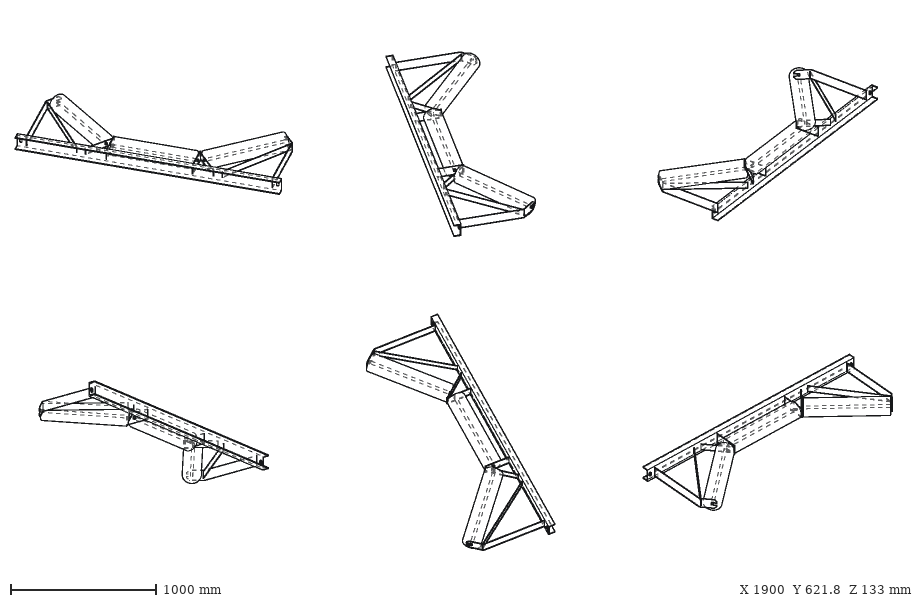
import cadquery as cq
import math

BEAM_LENGTH = 1900.0
BEAM_HEIGHT = 100.0
FLANGE_DEPTH = 50.0
WEB_THICKNESS = 5.0
FLANGE_THICKNESS = 8.0
ROOT_RADIUS = 8.0
MOUNT_SLOT_WIDTH = 17.0
MOUNT_SLOT_HEIGHT = 28.0
MOUNT_SLOT_INSET = 27.0

ROLLER_DIAMETER = 133.0
ROLLER_LENGTH = 600.0
ROLLER_EDGE_RADIUS = 4.8
SHAFT_DIAMETER = 19.0
TROUGH_ANGLE = 40.0
CENTRE_ROLLER_Y = 118.0
WING_ROLLER_X = 589.0
WING_ROLLER_Y = 330.0
END_GAP = 8.0

BAR_WIDTH = 75.0
BRACE_WIDTH = 50.0
BAR_THICKNESS = 5.0
OUTER_POST_X = 884.0
BEND_RADIUS = 13.0
PLATE_RISE = 35.0
PLATE_CHAMFER = 19.0
BRACE_FOOT_X = 522.0
BRACE_HEAD_RISE = 10.0

tilt = math.radians(TROUGH_ANGLE)
plate_offset = ROLLER_LENGTH / 2 + END_GAP + BAR_THICKNESS / 2
shaft_length = 2 * plate_offset + BAR_THICKNESS

LEFT_WING = (-WING_ROLLER_X, WING_ROLLER_Y, -TROUGH_ANGLE)
CENTRE = (0, CENTRE_ROLLER_Y, 0)
RIGHT_WING = (WING_ROLLER_X, WING_ROLLER_Y, TROUGH_ANGLE)


def place(part, station):
    """Move a part built about the origin along X to a roller station."""
    x, y, angle = station
    return part.rotate((0, 0, 0), (0, 0, 1), angle).translate((x, y, 0))


def wing_point(along, across):
    """XY point of the right wing: distance outwards along its axis and square to it."""
    x = WING_ROLLER_X + along * math.cos(tilt) - across * math.sin(tilt)
    y = WING_ROLLER_Y + along * math.sin(tilt) + across * math.cos(tilt)
    return (x, y)


def rod(diameter, length):
    return cq.Workplane("YZ").circle(diameter / 2).extrude(length).translate((-length / 2, 0, 0))


def shaft(station):
    return place(rod(SHAFT_DIAMETER, shaft_length), station)


def roller(station):
    shell = rod(ROLLER_DIAMETER, ROLLER_LENGTH).edges("%CIRCLE").fillet(ROLLER_EDGE_RADIUS)
    return place(shell, station).cut(shaft(station))


def channel_beam():
    half = BEAM_HEIGHT / 2
    inside = half - FLANGE_THICKNESS
    beam = (
        cq.Workplane("YZ")
        .moveTo(0, -half)
        .lineTo(0, half)
        .lineTo(-FLANGE_DEPTH, half)
        .lineTo(-FLANGE_DEPTH, inside)
        .lineTo(-WEB_THICKNESS - ROOT_RADIUS, inside)
        .radiusArc((-WEB_THICKNESS, inside - ROOT_RADIUS), ROOT_RADIUS)
        .lineTo(-WEB_THICKNESS, ROOT_RADIUS - inside)
        .radiusArc((-WEB_THICKNESS - ROOT_RADIUS, -inside), ROOT_RADIUS)
        .lineTo(-FLANGE_DEPTH, -inside)
        .lineTo(-FLANGE_DEPTH, -half)
        .close()
        .extrude(BEAM_LENGTH)
        .translate((-BEAM_LENGTH / 2, 0, 0))
    )
    slot_x = BEAM_LENGTH / 2 - MOUNT_SLOT_INSET
    mount_slots = (
        cq.Workplane("XZ")
        .pushPoints([(-slot_x, 0), (slot_x, 0)])
        .slot2D(MOUNT_SLOT_HEIGHT, MOUNT_SLOT_WIDTH, 90)
        .extrude(WEB_THICKNESS)
    )
    return beam.cut(mount_slots)


def bar_sides(path):
    """Left and right sides of a bar of constant thickness centred on a path of points."""
    headings = [math.atan2(q[1] - p[1], q[0] - p[0]) for p, q in zip(path, path[1:])]
    before = [headings[0]] + headings
    after = headings + [headings[-1]]
    left, right = [], []
    for (x, y), heading_in, heading_out in zip(path, before, after):
        normal = (heading_in + heading_out) / 2 + math.pi / 2
        reach = BAR_THICKNESS / 2 / math.cos((heading_out - heading_in) / 2)
        shift_x = reach * math.cos(normal)
        shift_y = reach * math.sin(normal)
        left.append((x + shift_x, y + shift_y))
        right.append((x - shift_x, y - shift_y))
    return left, right


def flat_bar(path, width):
    left, right = bar_sides(path)
    bar = cq.Workplane("XY").polyline(left + right[::-1]).close().extrude(width)
    return bar.translate((0, 0, -width / 2))


def bent_bar(path, inner_radius):
    """Two-legged flat bar turning left at the middle point of its path, with a round bend."""
    left, right = bar_sides(path)
    bar = flat_bar(path, BAR_WIDTH)
    for (x, y), radius in ((left[1], inner_radius), (right[1], inner_radius + BAR_THICKNESS)):
        corner_edge = cq.selectors.NearestToPointSelector((x, y, 0))
        bar = bar.edges(corner_edge).fillet(radius)
    return bar


def plate_cutters():
    """Open shaft slot and the two tip chamfers of the outer end plate."""
    depth = 4 * BAR_THICKNESS
    start_x = plate_offset - depth / 2
    half = BAR_WIDTH / 2
    shaft_slot = (
        cq.Workplane("YZ", origin=(start_x, 0, 0))
        .center(PLATE_RISE, 0)
        .slot2D(2 * PLATE_RISE + SHAFT_DIAMETER, SHAFT_DIAMETER)
        .extrude(depth)
    )
    chamfer = (
        cq.Workplane("YZ", origin=(start_x, 0, 0))
        .moveTo(PLATE_RISE, half)
        .lineTo(PLATE_RISE, half - PLATE_CHAMFER)
        .lineTo(PLATE_RISE - PLATE_CHAMFER, half)
        .close()
        .extrude(depth)
    )
    return [place(cutter, RIGHT_WING) for cutter in (shaft_slot, chamfer, chamfer.mirror("XY"))]


def outer_support():
    axis_x = wing_point(plate_offset, 0)[0]
    corner_across = (axis_x - OUTER_POST_X) / math.sin(tilt)
    corner = wing_point(plate_offset, corner_across)
    tip = wing_point(plate_offset, PLATE_RISE)
    post = bent_bar([(OUTER_POST_X, 0), corner, tip], BEND_RADIUS)
    for cutter in plate_cutters():
        post = post.cut(cutter)
    brace_head = wing_point(plate_offset, corner_across + BRACE_HEAD_RISE)
    brace = flat_bar([(BRACE_FOOT_X, 0), brace_head], BRACE_WIDTH)
    return post.union(brace)


def inner_support():
    """Post of the centre roller and the sloping bar that holds the inner end of the wing shaft."""
    axis_x, axis_y = wing_point(-plate_offset, 0)
    peak = wing_point(-plate_offset, (axis_x - plate_offset) / math.sin(tilt))
    foot = wing_point(-plate_offset, -axis_y / math.cos(tilt))
    post_top = (plate_offset, peak[1] + BAR_THICKNESS / 2)
    post = flat_bar([(plate_offset, 0), post_top], BAR_WIDTH)
    return post.union(flat_bar([foot, peak], BRACE_WIDTH))


def frame_weldment(shafts):
    supports = outer_support().union(inner_support())
    frame = channel_beam().union(supports).union(supports.mirror("YZ"))
    for bore in shafts:
        frame = frame.cut(bore)
    return frame


stations = [LEFT_WING, CENTRE, RIGHT_WING]
roller_shafts = [shaft(station) for station in stations]
rollers = [roller(station) for station in stations]
frame = frame_weldment(roller_shafts)

result = cq.Compound.makeCompound(
    [
        frame.val(),
        *[body.val() for body in rollers],
        *[body.val() for body in roller_shafts],
    ]
)